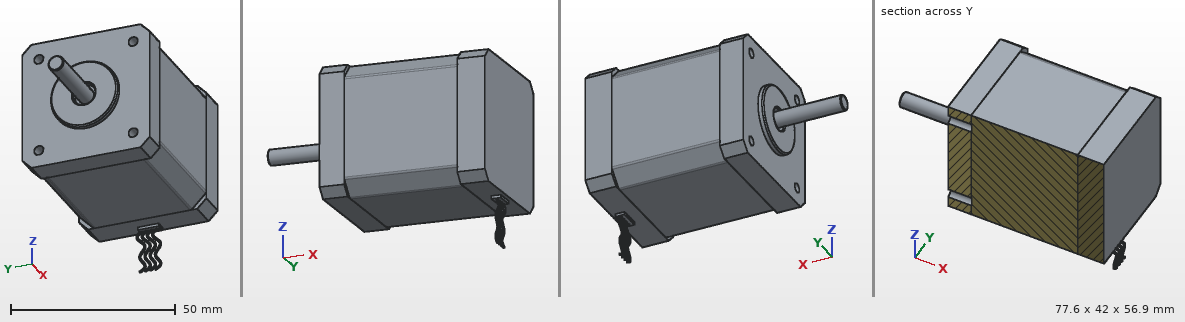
import cadquery as cq


side = 42.0
half_side = side / 2
front_cap_length = 8.0
rear_cap_length = 9.0
shaft_reach = 23.9
overall_length = 77.6
housing_length = overall_length - shaft_reach
stator_length = housing_length - front_cap_length - rear_cap_length
rear_cap_start = front_cap_length + stator_length

cap_chamfer = 3.0
stator_chamfer = 5.0
stator_edge_radius = 1.0

hole_diameter = 3.0
hole_pitch = 31.05

boss_diameter = 22.0
boss_height = 1.8
boss_chamfer = 0.5
recess_diameter = 7.2
recess_depth = 2.0
recess_chamfer = 0.4

shaft_diameter = 5.05
shaft_chamfer = 0.3

connector_length = 3.1
connector_width = 6.8
connector_height = 0.9
rear_to_connector = 3.0
connector_x = housing_length - rear_to_connector
wire_count = 4
wire_pitch = 1.7
wire_diameter = 0.55
root_shift = 0.6
wire_root = 0.3
bend_count = 4
first_swing = 1.6
swing = 0.85
first_bend_drop = 3.1
bend_spacing = 3.2
wire_tip_drop = 14.6


def square_block(start, length, corner_chamfer):
    """Square bar along X with its four long edges chamfered."""
    block = cq.Workplane("YZ").workplane(offset=start).rect(side, side).extrude(length)
    return block.edges("|X").chamfer(corner_chamfer)


def make_front_cap():
    cap = square_block(0, front_cap_length, cap_chamfer)
    boss = cq.Workplane("YZ").circle(boss_diameter / 2).extrude(-boss_height)
    cap = cap.union(boss.faces("<X").chamfer(boss_chamfer))

    recess = (
        cq.Workplane("YZ").workplane(offset=-boss_height)
        .circle(recess_diameter / 2).extrude(recess_depth)
    )
    mouth = cq.Workplane(cq.Solid.makeCone(
        recess_diameter / 2 + recess_chamfer, recess_diameter / 2, recess_chamfer,
        pnt=cq.Vector(-boss_height, 0, 0), dir=cq.Vector(1, 0, 0),
    ))
    bore = (
        cq.Workplane("YZ").workplane(offset=-boss_height)
        .circle(shaft_diameter / 2).extrude(boss_height + front_cap_length)
    )
    holes = (
        cq.Workplane("YZ").rect(hole_pitch, hole_pitch, forConstruction=True).vertices()
        .circle(hole_diameter / 2).extrude(front_cap_length)
    )
    return cap.cut(recess).cut(mouth).cut(bore).cut(holes)


def make_stator():
    stator = square_block(front_cap_length, stator_length, stator_chamfer)
    return stator.edges("|X").fillet(stator_edge_radius)


def make_rear_cap():
    return square_block(rear_cap_start, rear_cap_length, cap_chamfer)


def make_shaft():
    """Shaft from its tip to the front end of the stator."""
    shaft = (
        cq.Workplane("YZ").workplane(offset=-shaft_reach)
        .circle(shaft_diameter / 2).extrude(shaft_reach + front_cap_length)
    )
    return shaft.faces("<X").chamfer(shaft_chamfer)


def make_wire(middle_y):
    """Wavy round wire that hangs from the connector in a plane parallel to YZ."""
    root_z = -half_side - connector_height + wire_root
    points = [(middle_y - root_shift, root_z)]
    for number in range(bend_count):
        reach = first_swing if number == 0 else swing
        direction = 1 if number % 2 == 0 else -1
        drop = first_bend_drop + number * bend_spacing
        points.append((middle_y + direction * reach, -half_side - drop))
    points.append((middle_y + swing, -half_side - wire_tip_drop))
    path = cq.Workplane("YZ", origin=(connector_x, 0, 0)).spline(points)
    start = path.val().startPoint()
    profile = cq.Plane(origin=start, xDir=(1, 0, 0), normal=path.val().tangentAt(0))
    return cq.Workplane(profile).circle(wire_diameter / 2).sweep(path)


def make_connector():
    """Connector block and its wires as one body."""
    connector = cq.Workplane("XY").box(
        connector_length, connector_width, connector_height, centered=(True, True, False)
    ).translate((connector_x, 0, -half_side - connector_height))
    for number in range(wire_count):
        middle_y = (number - (wire_count - 1) / 2) * wire_pitch
        connector = connector.union(make_wire(middle_y))
    return connector


front_cap = make_front_cap()
stator = make_stator()
rear_cap = make_rear_cap()
shaft = make_shaft()
connector = make_connector()

result = cq.Compound.makeCompound(
    [front_cap.val(), stator.val(), rear_cap.val(), shaft.val(), connector.val()]
)